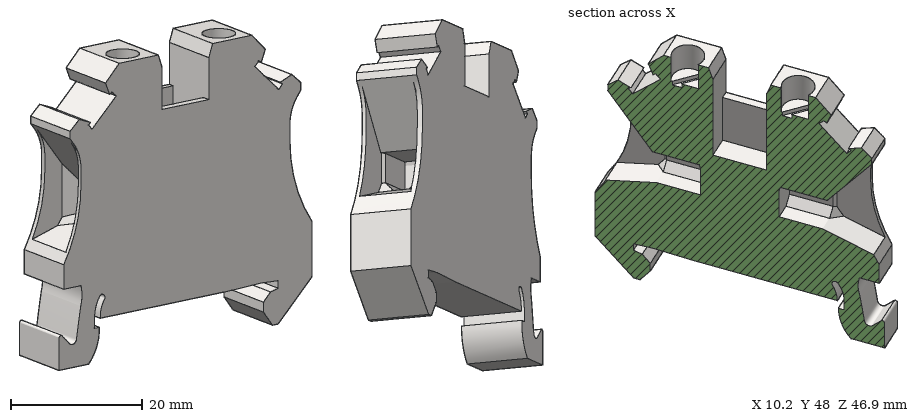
import cadquery as cq
import math


thickness = 10.15
length = 48.0
height = 46.85
half_length = length / 2
rail_seat_z = 6.9
clip_side_y = 23.1

hook_mouth_y = 17.55
seat_relief_y = 14.4
seat_relief_end_y = 7.7
seat_relief_depth = 0.2

groove_half = 4.4
groove_mouth_half = 5.15
groove_z = 38.05
groove_bevel_z = 44.75
marker_wall = 1.0
marker_far_wall = 1.35
marker_depth = 8.65

waist_y = 19.8
waist_bottom_z = 28.8
waist_top_z = 31.4
flank_radius = 24.2
lip_y = 21.9
lip_z = 36.5
roof_z = 35.5
roof_y = 21.15
roof_slope = (lip_z - roof_z) / (lip_y - roof_y)

screw_x = 6.35
screw_y = 9.1
well_diameter = 5.15
well_depth = 4.8
driver_slot_width = 1.05
driver_slot_depth = 0.7

entry_wall = 0.85
entry_far_wall = 0.65
sill_z = 18.35
throat_y = 13.8
throat_back_y = screw_y - well_diameter / 2
throat_width = 5.4
throat_bottom_z = 20.7
throat_top_z = 26.6
throat_corner = 1.35
throat_back_bevel_height = 0.6
throat_back_bevel_depth = 0.2

clip_catch_z = 5.5
slit_inner_y = -16.2
slit_outer_y = -17.25


def flank_y(z):
    """Y of the large concave flank at height z."""
    drop = waist_bottom_z - z
    return waist_y + flank_radius - math.sqrt(flank_radius**2 - drop**2)


def flank_z(y):
    """Height at which the large concave flank reaches y."""
    run = flank_radius - (y - waist_y)
    return waist_bottom_z - math.sqrt(flank_radius**2 - run**2)


def half_body(end_y):
    """The +Y half of the housing, ending at a flat face at y = end_y."""
    flank_mid_z = (flank_z(end_y) + waist_bottom_z) / 2
    outline = (
        cq.Workplane("YZ")
        .moveTo(0, rail_seat_z)
        .lineTo(end_y, rail_seat_z)
        .lineTo(end_y, flank_z(end_y))
        .threePointArc((flank_y(flank_mid_z), flank_mid_z), (waist_y, waist_bottom_z))
        .lineTo(waist_y, waist_top_z)
        .tangentArcPoint((roof_y, roof_z), relative=False)
        .lineTo(lip_y, lip_z)
        .lineTo(lip_y, 37.7)
        .lineTo(20.15, 39.25)
        .lineTo(18.0, 38.4)
        .lineTo(18.4, 38.05)
        .lineTo(17.7, 37.3)
        .lineTo(13.15, 41.75)
        .lineTo(13.9, 42.55)
        .lineTo(14.4, 42.25)
        .lineTo(15.15, 44.15)
        .lineTo(12.6, height)
        .lineTo(groove_mouth_half, height)
        .lineTo(groove_half, groove_bevel_z)
        .lineTo(groove_half, groove_z)
        .lineTo(0, groove_z)
        .close()
    )
    return outline.extrude(thickness)


def rail_hook():
    """Fixed foot on the +Y side that hooks under the rail edge."""
    return (
        cq.Workplane("YZ")
        .moveTo(half_length, rail_seat_z)
        .lineTo(half_length, 6.4)
        .lineTo(hook_mouth_y, 0)
        .lineTo(16.5, 0)
        .lineTo(14.8, 2.4)
        .lineTo(14.8, 4.0)
        .lineTo(16.15, 5.4)
        .lineTo(hook_mouth_y, 5.7)
        .lineTo(hook_mouth_y, rail_seat_z)
        .close()
        .extrude(thickness)
    )


def seat_relief():
    """Shallow V-shaped relief in the underside, beside the hook mouth."""
    points = [
        (hook_mouth_y, rail_seat_z),
        (seat_relief_y, rail_seat_z + seat_relief_depth),
        (seat_relief_end_y, rail_seat_z),
    ]
    return cq.Workplane("YZ").polyline(points).close().extrude(thickness)


def clip_relief():
    """Space cleared from the body on the -Y side around the spring clip."""
    shelf_z = 12.75
    return (
        cq.Workplane("YZ")
        .moveTo(slit_inner_y, rail_seat_z)
        .threePointArc((-15.95, 8.65), (-15.3, 9.95))
        .threePointArc((-15.75, 10.65), (-16.3, 10.35))
        .threePointArc((-16.95, 9.05), (slit_outer_y, rail_seat_z))
        .close()
        .moveTo(-19.8, shelf_z)
        .lineTo(-half_length, shelf_z)
        .lineTo(-half_length, 5.2)
        .threePointArc((-23.85, 5.4), (-23.5, clip_catch_z))
        .lineTo(-22.1, 4.05)
        .threePointArc((-21.2, 3.75), (-20.7, 4.35))
        .tangentArcPoint((-19.85, 9.5), relative=False)
        .threePointArc((-19.65, 11.15), (-19.8, shelf_z))
        .close()
        .extrude(thickness)
    )


def spring_clip():
    """Flexible foot on the -Y side, before the space behind its arm is cleared."""
    return (
        cq.Workplane("YZ")
        .moveTo(slit_outer_y, rail_seat_z)
        .lineTo(slit_outer_y, clip_catch_z)
        .lineTo(-16.3, clip_catch_z)
        .threePointArc((-16.75, 2.7), (-18.4, 0))
        .lineTo(-half_length, 0)
        .lineTo(-half_length, rail_seat_z)
        .close()
        .extrude(thickness)
    )


def throat_section(spread, top_z):
    """Throat outline with cut lower corners, grown by spread and placed that far outward."""
    left = screw_x - throat_width / 2 - spread
    right = screw_x + throat_width / 2 + spread
    bottom_z = throat_bottom_z - spread
    corner = throat_corner + spread * (2 - math.sqrt(2))
    points = [
        (left + corner, bottom_z),
        (right - corner, bottom_z),
        (right, bottom_z + corner),
        (right, top_z),
        (left, top_z),
        (left, bottom_z + corner),
    ]
    return cq.Workplane("XZ", origin=(0, -throat_y - spread, 0)).polyline(points).close()


def wire_entry():
    """Wire opening at the -Y end: flared pocket, 45 degree lead-in and a throat below the screw."""
    roof_end_y = roof_y - (roof_z - throat_top_z) / roof_slope
    reach = half_length - throat_y
    throat = throat_section(0, throat_top_z).extrude(throat_back_y - throat_y)
    outer_wire = throat_section(reach, lip_z).wires().val()
    inner_wire = throat_section(0, lip_z).wires().val()
    lead_in = cq.Workplane(cq.Solid.makeLoft([inner_wire, outer_wire], True))

    pocket = (
        cq.Workplane("YZ", origin=(entry_wall, 0, 0))
        .moveTo(-throat_y, throat_bottom_z)
        .lineTo(-flank_y(sill_z), sill_z)
        .lineTo(-half_length, sill_z)
        .lineTo(-half_length, lip_z)
        .lineTo(-lip_y, lip_z)
        .lineTo(-roof_end_y, throat_top_z)
        .lineTo(-throat_y, throat_top_z)
        .close()
        .extrude(thickness - entry_wall - entry_far_wall)
    )
    back_bevel = (
        cq.Workplane("YZ")
        .moveTo(-throat_back_y, throat_top_z)
        .lineTo(-throat_back_y - throat_back_bevel_depth, throat_top_z)
        .lineTo(-throat_back_y, throat_top_z - throat_back_bevel_height)
        .close()
        .extrude(thickness)
    )
    return throat.cut(back_bevel).union(lead_in.intersect(pocket))


def screw_well(y):
    """Round well from the tower top down to a slotted screw head."""
    head_z = height - well_depth
    well = cq.Workplane("XY", origin=(screw_x, y, head_z)).circle(well_diameter / 2).extrude(well_depth)
    driver_slot = (
        cq.Workplane("XY", origin=(screw_x, y, head_z - driver_slot_depth))
        .circle(well_diameter / 2)
        .extrude(driver_slot_depth)
        .intersect(
            cq.Workplane("XY", origin=(screw_x, y, head_z))
            .transformed(rotate=(0, 0, -45))
            .box(2 * well_diameter, driver_slot_width, 2 * driver_slot_depth)
        )
    )
    return well.union(driver_slot)


def marker_recess():
    """Deep slot in the groove floor that leaves a thin wall on each side."""
    width = thickness - marker_wall - marker_far_wall
    return (
        cq.Workplane("XY", origin=(marker_wall + width / 2, 0, groove_z))
        .rect(width, 2 * groove_half)
        .extrude(-marker_depth)
    )


result = half_body(half_length).union(half_body(clip_side_y).mirror("XZ"))
result = result.union(rail_hook()).union(spring_clip()).cut(clip_relief()).cut(seat_relief())

entry = wire_entry()
result = result.cut(entry).cut(entry.mirror("XZ")).cut(marker_recess())
for y in (-screw_y, screw_y):
    result = result.cut(screw_well(y))